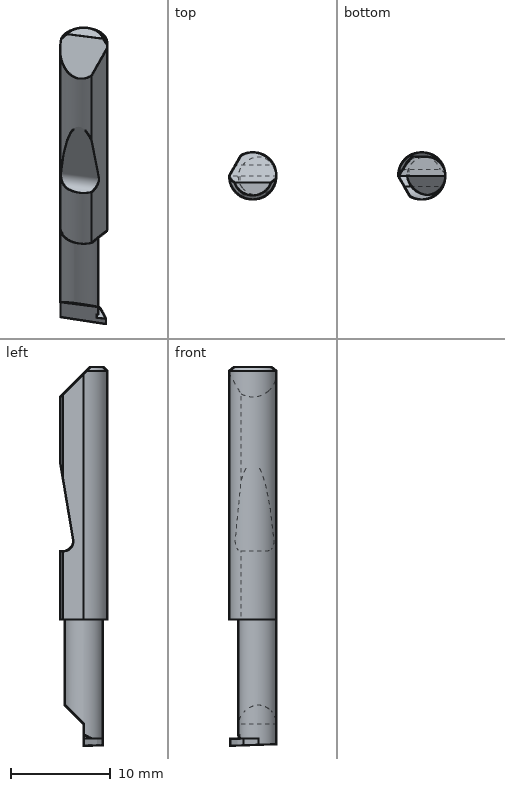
import cadquery as cq
import math

total_length = 38.1
shank_diameter = 4.75
shank_radius = shank_diameter / 2
shank_bottom = 12.7
end_chamfer = 0.42

flat_angle = 150.0
flat_distance = shank_radius * math.cos(math.radians(180 - flat_angle))

bevel_start_y = -0.65

notch_top = 28.5
notch_bottom = 19.6
notch_angle = 9.5
notch_radius = 1.0

neck_diameter = 3.85
neck_radius = neck_diameter / 2
neck_center_x = shank_radius - neck_radius
relief_top = 4.1

back_radius = 2.2
back_center_y = neck_radius - back_radius
back_center_x = neck_center_x - neck_radius + math.sqrt(back_radius**2 - back_center_y**2)

head_height = 0.72
head_tip_x = -2.3
head_side_corner = (-1.5, -1.37)
head_front_left_x = -0.95
head_front_right_x = 0.57
underside_angle = 2.0

trim_x = -1.3
trim_top = 1.15
trim_depth = 0.8

margin = 0.4


def profile_along_x(points):
    """Extrude a closed (Y, Z) outline right across the part."""
    half_width = shank_radius + margin
    return (
        cq.Workplane("YZ").workplane(offset=-half_width)
        .polyline(points).close().extrude(2 * half_width)
    )


def make_shank():
    shank = (
        cq.Workplane("XY").workplane(offset=shank_bottom)
        .circle(shank_radius).extrude(total_length - shank_bottom)
        .faces(">Z").chamfer(end_chamfer)
    )
    flat_cutter = (
        cq.Workplane("XY")
        .box(shank_radius, 4 * shank_radius, total_length + margin, centered=(False, True, False))
        .translate((flat_distance, 0, 0))
        .rotate((0, 0, 0), (0, 0, 1), flat_angle)
    )
    outer_y = shank_radius + margin
    bevel_cutter = profile_along_x([
        (bevel_start_y - margin, total_length + margin),
        (outer_y, total_length + margin),
        (outer_y, total_length - (outer_y - bevel_start_y)),
        (bevel_start_y, total_length),
    ])
    return shank.cut(flat_cutter).cut(bevel_cutter).cut(make_notch())


def make_notch():
    """Sloping notch whose lower inner corner is rounded."""
    angle = math.radians(notch_angle)
    slope = math.tan(angle)
    corner_y = shank_radius - (notch_top - notch_bottom) * slope
    outer_y = shank_radius + margin
    return (
        profile_along_x([
            (outer_y, notch_bottom),
            (corner_y, notch_bottom),
            (outer_y, notch_top + margin / slope),
        ])
        .edges("|X").edges("<Y").fillet(notch_radius)
    )


def make_neck():
    front = (
        cq.Workplane("XY").center(neck_center_x, 0)
        .circle(neck_radius).extrude(shank_bottom)
    )
    back_bound = (
        cq.Workplane("XY").center(back_center_x, back_center_y)
        .circle(back_radius).extrude(shank_bottom)
    )
    back_half = profile_along_x([
        (0, 0),
        (0, shank_bottom),
        (shank_radius, shank_bottom),
        (shank_radius, 0),
    ])
    neck = front.cut(back_half.cut(back_bound))
    relief = profile_along_x([
        (0, -margin),
        (0, relief_top - neck_radius),
        (neck_radius + margin, relief_top + margin),
        (neck_radius + margin, -margin),
    ])
    return neck.cut(relief).cut(make_neck_trim())


def make_neck_trim():
    """Wedge left of trim_x with a ceiling that slopes down to the head."""
    return (
        cq.Workplane("YZ").workplane(offset=trim_x)
        .polyline([
            (0, trim_top),
            (-trim_depth, head_height),
            (-trim_depth, 0),
            (0, 0),
        ])
        .close().extrude(-shank_radius)
    )


def make_head():
    """Faceted plate from the cutting tip to the front of the neck."""
    return (
        cq.Workplane("XY")
        .polyline([
            (head_tip_x, 0),
            head_side_corner,
            (head_front_left_x, -neck_radius),
            (head_front_right_x, -neck_radius),
            (head_front_right_x, 0),
        ])
        .close().extrude(head_height)
    )


def make_underside_cutter():
    """Wedge that tilts the underside up from the tip towards +X."""
    length = shank_radius + margin - head_tip_x
    rise = length * math.tan(math.radians(underside_angle))
    return (
        cq.Workplane("XZ").workplane(offset=-margin)
        .polyline([(head_tip_x, 0), (head_tip_x + length, rise), (head_tip_x + length, 0)])
        .close().extrude(neck_radius + 2 * margin)
    )


tool_tip = make_neck().union(make_head()).cut(make_underside_cutter())
result = make_shank().union(tool_tip)